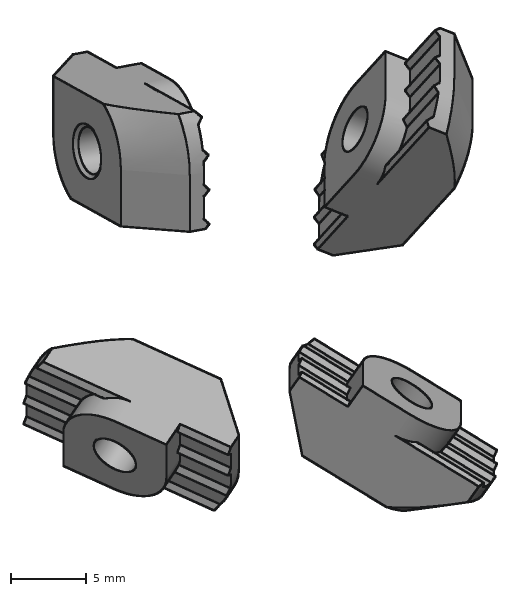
import cadquery as cq
import math

HEAD_LENGTH = 15.5
NUT_HEIGHT = 7.9
HEAD_DEPTH = 4.5
RIDGE_HEIGHT = 0.4
TOTAL_DEPTH = 6.4

FRONT_FACE_LENGTH = 9.0
TAPER_DEPTH = 3.4
END_ARC_RADIUS = 6.85

NECK_LENGTH = 7.8
NECK_CORNER_RADIUS = 4.0

RIDGE_COUNT = 4
RIDGE_PITCH = 2.4
RIDGE_HALF_WIDTH = 0.4

HOLE_DIAMETER = 3.2
HOLE_CHAMFER = 0.27

HALF_LENGTH = HEAD_LENGTH / 2
HALF_HEIGHT = NUT_HEIGHT / 2
FRONT_Y = -TOTAL_DEPTH / 2
HEAD_BACK_Y = FRONT_Y + HEAD_DEPTH
RIDGE_TIP_Y = HEAD_BACK_Y + RIDGE_HEIGHT
NECK_BACK_Y = FRONT_Y + TOTAL_DEPTH


def extrude_along_y(outline, start_y, end_y):
    """Extrude an outline drawn in (x, z) from start_y to end_y."""
    return outline.extrude(start_y - end_y).translate((0, start_y, 0))


def head_outline():
    """Rectangle whose upper right and lower left corners are swept away by arcs."""
    arc_center_x = HALF_LENGTH - END_ARC_RADIUS
    end_angle = math.asin(HALF_HEIGHT / END_ARC_RADIUS)
    corner_x = arc_center_x + END_ARC_RADIUS * math.cos(end_angle)
    mid_x = arc_center_x + END_ARC_RADIUS * math.cos(end_angle / 2)
    mid_z = END_ARC_RADIUS * math.sin(end_angle / 2)
    return (
        cq.Workplane("XZ")
        .moveTo(HALF_LENGTH, 0)
        .threePointArc((mid_x, mid_z), (corner_x, HALF_HEIGHT))
        .lineTo(-HALF_LENGTH, HALF_HEIGHT)
        .lineTo(-HALF_LENGTH, 0)
        .threePointArc((-mid_x, -mid_z), (-corner_x, -HALF_HEIGHT))
        .lineTo(HALF_LENGTH, -HALF_HEIGHT)
        .close()
    )


def taper_profile():
    """Half of the trapezoid that gives the sloped ends, from the screw axis outwards."""
    front_half = FRONT_FACE_LENGTH / 2
    slope = (HALF_LENGTH - front_half) / TAPER_DEPTH
    return (
        cq.Workplane("XY")
        .moveTo(0, FRONT_Y)
        .lineTo(front_half, FRONT_Y)
        .lineTo(front_half + slope * HEAD_DEPTH, HEAD_BACK_Y)
        .lineTo(0, HEAD_BACK_Y)
        .close()
    )


def taper_envelope():
    """Space inside the sloped ends: flat wedges on two quadrants, a cone on the other two."""
    cone = taper_profile().revolve(360, (0, 0, 0), (0, 1, 0))
    lower_right_wedge = taper_profile().extrude(-HALF_HEIGHT)
    upper_left_wedge = lower_right_wedge.rotate((0, 0, 0), (0, 1, 0), 180)
    return cone.union(lower_right_wedge).union(upper_left_wedge)


def ridge(tip_z):
    """One triangular ridge running along X with its tip at height tip_z."""
    return (
        cq.Workplane("YZ")
        .moveTo(HEAD_BACK_Y, tip_z - RIDGE_HALF_WIDTH)
        .lineTo(RIDGE_TIP_Y, tip_z)
        .lineTo(HEAD_BACK_Y, tip_z + RIDGE_HALF_WIDTH)
        .close()
        .extrude(HALF_LENGTH, both=True)
    )


def head():
    """Tapered head with evenly spaced ridges, the first flush with the top face."""
    block = extrude_along_y(head_outline(), FRONT_Y, HEAD_BACK_Y)
    body = block.intersect(taper_envelope())
    ridge_trim = extrude_along_y(head_outline(), HEAD_BACK_Y, RIDGE_TIP_Y)
    top_ridge_z = HALF_HEIGHT - RIDGE_HALF_WIDTH
    for index in range(RIDGE_COUNT):
        body = body.union(ridge(top_ridge_z - index * RIDGE_PITCH).intersect(ridge_trim))
    return body


def neck():
    """Block with two opposite corners rounded so that it can turn in the slot."""
    half_neck = NECK_LENGTH / 2
    arc_end_x = half_neck - NECK_CORNER_RADIUS
    arc_end_z = HALF_HEIGHT - NECK_CORNER_RADIUS
    outline = (
        cq.Workplane("XZ")
        .moveTo(half_neck, arc_end_z)
        .radiusArc((arc_end_x, HALF_HEIGHT), -NECK_CORNER_RADIUS)
        .lineTo(-half_neck, HALF_HEIGHT)
        .lineTo(-half_neck, -arc_end_z)
        .radiusArc((-arc_end_x, -HALF_HEIGHT), -NECK_CORNER_RADIUS)
        .lineTo(half_neck, -HALF_HEIGHT)
        .close()
    )
    return extrude_along_y(outline, HEAD_BACK_Y, NECK_BACK_Y)


def screw_hole():
    """Through hole with a chamfered mouth on the front face."""
    radius = HOLE_DIAMETER / 2
    return (
        cq.Workplane("XY")
        .moveTo(0, FRONT_Y)
        .lineTo(radius + HOLE_CHAMFER, FRONT_Y)
        .lineTo(radius, FRONT_Y + HOLE_CHAMFER)
        .lineTo(radius, NECK_BACK_Y)
        .lineTo(0, NECK_BACK_Y)
        .close()
        .revolve(360, (0, 0, 0), (0, 1, 0))
    )


result = head().union(neck()).cut(screw_hole())